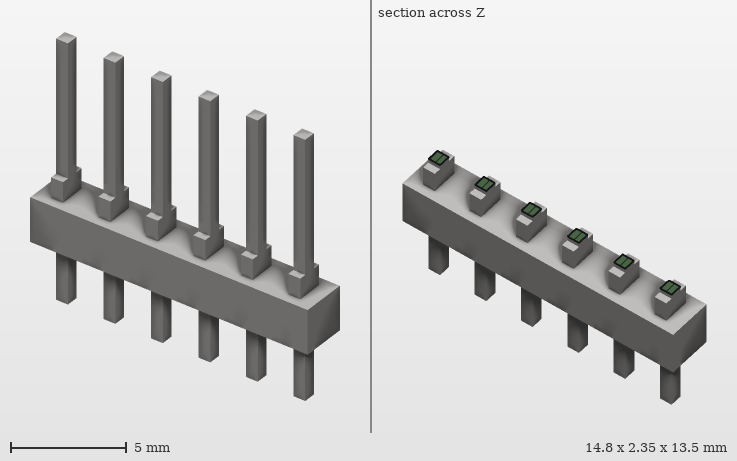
import cadquery as cq

housing_length = 14.83
housing_depth = 2.35
housing_height = 2.31

pin_count = 6
pin_pitch = 2.54
pin_width = 0.64
tail_length = 3.16
total_height = 13.54
pin_top = total_height - tail_length
shoulder_depth = 1.36
shoulder_height = 1.07


def upright_block(length, depth, bottom, top):
    """Block centred on the Z axis, spanning bottom to top."""
    block = cq.Workplane("XY").box(length, depth, top - bottom, centered=(True, True, False))
    return block.translate((0, 0, bottom))


def make_pin():
    """One straight pin, including its shoulder and the part inside the housing."""
    shaft = upright_block(pin_width, pin_width, -tail_length, pin_top)
    shoulder = upright_block(pin_width, shoulder_depth, 0, housing_height + shoulder_height)
    return shaft.union(shoulder)


pin = make_pin()
first_pin_x = -pin_pitch * (pin_count - 1) / 2

result = upright_block(housing_length, housing_depth, 0, housing_height)
for index in range(pin_count):
    result = result.union(pin.translate((first_pin_x + index * pin_pitch, 0, 0)))